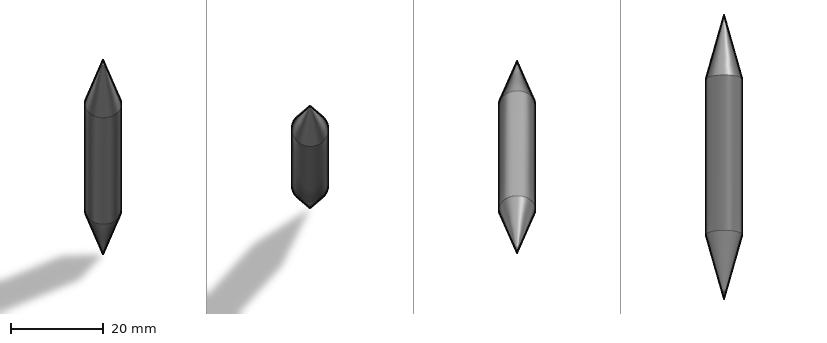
import cadquery as cq

total_length = 63.5
diameter = 7.95
point_length = 14.4

radius = diameter / 2
tip_height = total_length / 2
shoulder_height = tip_height - point_length

half_section = (
    cq.Workplane("XZ")
    .moveTo(0, -tip_height)
    .lineTo(radius, -shoulder_height)
    .lineTo(radius, shoulder_height)
    .lineTo(0, tip_height)
    .close()
)

result = half_section.revolve(360, (0, 0, 0), (0, 1, 0))